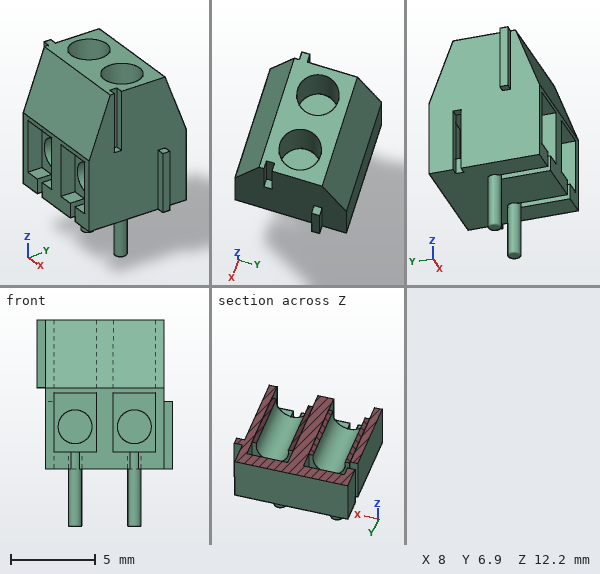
import cadquery as cq

pole_count = 2
pitch = 3.5
housing_width = pole_count * pitch
housing_depth = 6.9
housing_height = 8.8
shoulder_height = 4.8
slope_inset = 1.5
front_y = -housing_depth / 2
back_y = housing_depth / 2
side_x = housing_width / 2

rail_size = 0.5
front_rail_setback = 1.8
front_rail_y = front_y + front_rail_setback + rail_size / 2
rear_rail_y = back_y - slope_inset - rail_size / 2
rear_rail_height = 4.0

chamber_width = 2.5
chamber_floor = 1.0
chamber_height = 3.5
chamber_top = chamber_floor + chamber_height
floor_slot_width = 0.5

screw_hole_diameter = 2.5
screw_hole_setback = 3.5
screw_hole_y = front_y + screw_hole_setback

block_depth = 4.0
block_setback = 1.0
block_front = front_y + block_setback
block_back = block_front + block_depth
wire_hole_diameter = 2.0
wire_hole_z = 2.5
pin_diameter = 0.8
pin_length = 3.4
pin_setback = 3.4
pin_y = front_y + pin_setback
pin_tip_rounding = 0.1

chamber_back = block_back + block_setback

pole_positions = [(i - (pole_count - 1) / 2) * pitch for i in range(pole_count)]


def box(x_range, y_range, z_range):
    """Box between the given lower and upper limits on each axis."""
    (x0, x1), (y0, y1), (z0, z1) = x_range, y_range, z_range
    return cq.Workplane("XY").box(x1 - x0, y1 - y0, z1 - z0, centered=False).translate((x0, y0, z0))


def upright_cylinder(diameter, x, y, bottom, top):
    """Vertical cylinder between two heights."""
    return cq.Workplane("XY", origin=(x, y, bottom)).circle(diameter / 2).extrude(top - bottom)


def rail_bar(start_x, y, z_range):
    """Square bar, used as a rail or as a groove cutter, reaching rail_size to +X of start_x."""
    return box((start_x, start_x + rail_size), (y - rail_size / 2, y + rail_size / 2), z_range)


def make_shell():
    """Block with both long sides sloping inwards above the shoulder."""
    return (
        cq.Workplane("YZ", origin=(-side_x, 0, 0))
        .moveTo(front_y, 0)
        .lineTo(back_y, 0)
        .lineTo(back_y, shoulder_height)
        .lineTo(back_y - slope_inset, housing_height)
        .lineTo(front_y + slope_inset, housing_height)
        .lineTo(front_y, shoulder_height)
        .close()
        .extrude(housing_width)
    )


def make_chamber(x):
    """Space for one terminal: chamber, pin hole with a slot leading to it, and screwdriver shaft."""
    chamber = box(
        (x - chamber_width / 2, x + chamber_width / 2),
        (front_y, chamber_back),
        (chamber_floor, chamber_top),
    )
    floor_slot = box(
        (x - floor_slot_width / 2, x + floor_slot_width / 2),
        (front_y, pin_y),
        (0, chamber_floor),
    )
    pin_hole = upright_cylinder(pin_diameter, x, pin_y, 0, chamber_floor)
    screw_shaft = upright_cylinder(screw_hole_diameter, x, screw_hole_y, chamber_top, housing_height)
    return chamber.union(floor_slot).union(pin_hole).union(screw_shaft)


def make_housing():
    upper_span = (shoulder_height, housing_height)
    lower_span = (0, rear_rail_height)
    housing = make_shell()
    for x in pole_positions:
        housing = housing.cut(make_chamber(x))
    housing = housing.union(rail_bar(-side_x - rail_size, front_rail_y, upper_span))
    housing = housing.union(rail_bar(side_x, rear_rail_y, lower_span))
    housing = housing.cut(rail_bar(side_x - rail_size, front_rail_y, upper_span))
    housing = housing.cut(rail_bar(-side_x, rear_rail_y, lower_span))
    return housing


def make_terminal(x):
    """Clamp block as wide and high as the chamber, with the solder pin below it."""
    block = box(
        (x - chamber_width / 2, x + chamber_width / 2),
        (block_front, block_back),
        (chamber_floor, chamber_top),
    )
    wire_hole = (
        cq.Workplane("XZ", origin=(x, block_back, wire_hole_z))
        .circle(wire_hole_diameter / 2)
        .extrude(block_depth)
    )
    pin = upright_cylinder(pin_diameter, x, pin_y, -pin_length, chamber_floor)
    pin = pin.faces("<Z").edges().fillet(pin_tip_rounding)
    return block.cut(wire_hole).union(pin)


housing = make_housing()
terminals = [make_terminal(x) for x in pole_positions]

result = cq.Compound.makeCompound([housing.val(), *[terminal.val() for terminal in terminals]])